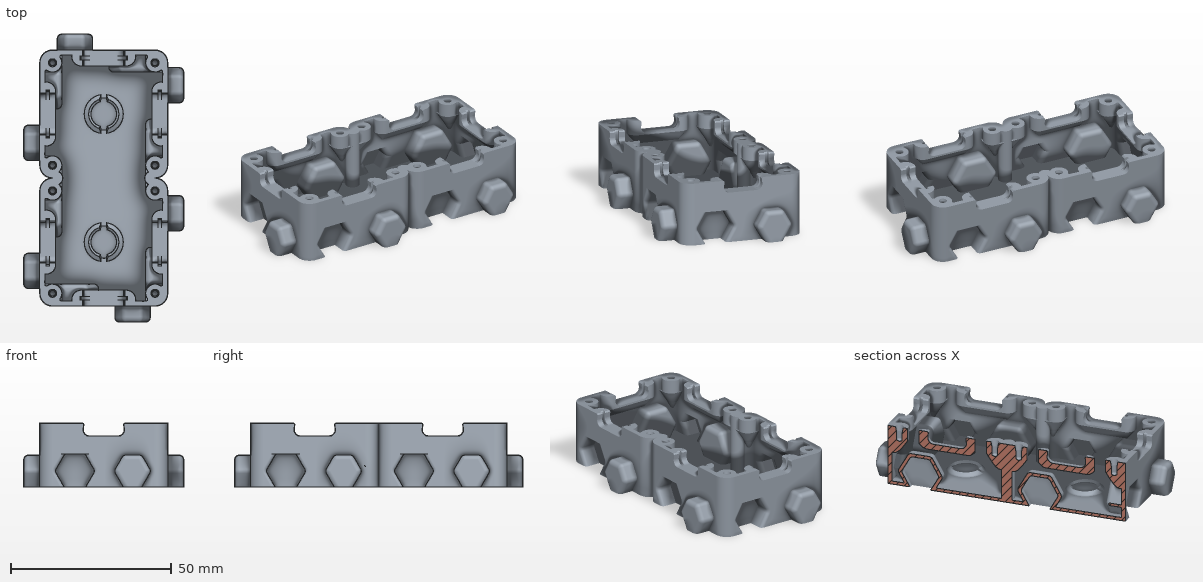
import math

import cadquery as cq

cell = 40.0
half = cell / 2
height = 20.0
wall = 1.6
floor = 1.2
corner_radius = 4.0
eps = 0.01

jamb_radius = 2.2
jamb_x = 15.0

boss_offset = half - corner_radius
boss_radius = 2.9
boss_height = 4.2
boss_fillet = 0.5
support_waist = 1.3
support_waist_drop = 4.5
support_waist_shift = 1.4
support_tip = 0.8
support_tip_drop = 7.0
support_tip_shift = 2.2
screw_diameter = 1.8
screw_flare = 0.35
screw_lead = 2.0
screw_depth = 4.5
screw_tip = 0.5

sill_radius = 3.0
sill_depth = 5.0
sill_post_spacing = 14.0
sill_thickness = 4.6
sill_taper_inset = 2.9
sill_taper_drop = 3.4

notch_depth = 4.0
notch_half_width = 6.4
notch_fillet = 1.9
neck_inset = 0.2
edge_chamfer = 0.4
groove_half_width = 7.25
groove_fillet = 0.8
groove_width = 1.1
groove_inset = 2.5

hex_offset = 9.0
hex_fillet = 1.5
hex_z = 5.0
plug_apothem = 5.0
plug_length = 5.0
clearance = 0.4
socket_apothem = plug_apothem + clearance
plug_end_gap = 0.3
socket_depth = plug_length + plug_end_gap
socket_vertex_fillet = 1.2
socket_mouth_radius = 1.0
hollow_mouth_radius = 1.5
skin = floor
housing_length = socket_depth + wall
foot_length = 3.0

magnet_radius = 5.05
magnet_recess = 0.4
clip_base_radius = 6.1
clip_ridge_radius = 4.72
clip_lip_radius = 4.0
clip_height = 1.1
clip_lip_height = 0.5
clip_gap = 1.6
clip_gap_top = 2.8


def cell_centres():
    """Cell centres, each with the quarter turns of its three outer walls from the -Y wall."""
    return [(half, (1, 2, 3)), (-half, (0, 1, 3))]


def on_outer_walls(feature):
    """Copy a feature made for the -Y wall of a centred cell onto every outer wall."""
    copies = cq.Workplane("XY")
    for y, turns in cell_centres():
        for turn in turns:
            placed = feature.rotate((0, 0, 0), (0, 0, 1), 90 * turn).translate((0, y, 0))
            copies = copies.add(placed.vals())
    return copies


def combined(copies):
    """Fuse a stack of solids into one body."""
    solids = copies.vals()
    body = cq.Workplane("XY").add(solids[0])
    for solid in solids[1:]:
        body = body.union(cq.Workplane("XY").add(solid))
    return body


def cell_block(side, radius, z0, z1):
    """Two square prisms with rounded corners, one per cell."""
    block = cq.Workplane("XY")
    for y, _ in cell_centres():
        prism = cq.Workplane("XY").box(side, side, z1 - z0, centered=(True, True, False))
        block = block.union(prism.edges("|Z").fillet(radius).translate((0, y, z0)))
    return block


def interior(z0, z1):
    """Inner space of both cells with the passage between its rounded jambs."""
    space = cell_block(cell - 2 * wall, corner_radius - wall, z0, z1)
    passage = cq.Workplane("XY").box(2 * jamb_x, 4 * wall, z1 - z0, centered=(True, True, False))
    jambs = cq.Workplane("XY").pushPoints([(-jamb_x, 0), (jamb_x, 0)]).circle(jamb_radius)
    space = space.union(passage.translate((0, 0, z0)))
    return space.cut(jambs.extrude(z1 - z0).translate((0, 0, z0)))


def boss_corners():
    """Boss centres with the X and Y signs pointing to their cell corner."""
    return [
        (sx * boss_offset, y + sy * boss_offset, sx, sy)
        for y, _ in cell_centres()
        for sx in (-1, 1)
        for sy in (-1, 1)
    ]


def boss_band():
    """Top band of the walls with the bosses blended into the side and end walls."""
    z0 = height - boss_height
    band = cell_block(cell, corner_radius, z0, height).cut(interior(z0, height))
    reach = half - wall - boss_offset
    across = math.sqrt(boss_radius**2 - reach**2)
    roots = []
    for x, y, sx, sy in boss_corners():
        boss = cq.Workplane("XY", origin=(x, y, z0)).circle(boss_radius).extrude(boss_height)
        band = band.union(boss)
        roots.append((x + sx * reach, y - sy * across))
        if y * sy > 0 and abs(y) > half:
            roots.append((x - sx * across, y + sy * reach))
    for x, y in roots:
        root = cq.selectors.NearestToPointSelector((x, y, z0 + boss_height / 2))
        band = band.edges("|Z").edges(root).fillet(boss_fillet)
    return band


def support_section(boss, drop, size, shift):
    """Square of half width size, rounded on its inner corner and shifted into the cell corner."""
    x, y, sx, sy = boss
    plane = cq.Plane(origin=(x, y, height - boss_height - drop))
    out_x = sx * (shift + size)
    out_y = sy * (shift + size)
    in_x = sx * (shift - size)
    in_y = sy * (shift - size)
    bend = shift - size * math.sqrt(0.5)
    outline = (
        cq.Workplane(plane)
        .moveTo(out_x, out_y)
        .lineTo(in_x, out_y)
        .lineTo(in_x, sy * shift)
        .threePointArc((sx * bend, sy * bend), (sx * shift, in_y))
        .lineTo(out_x, in_y)
        .close()
    )
    return outline.wires().val()


def boss_supports():
    """Tapered brackets that carry each boss from its cell corner, steep then steeper."""
    brackets = cq.Workplane("XY")
    for boss in boss_corners():
        top = support_section(boss, 0, boss_radius, 0)
        waist = support_section(boss, support_waist_drop, support_waist, support_waist_shift)
        tip = support_section(boss, support_tip_drop, support_tip, support_tip_shift)
        for upper, lower in ((top, waist), (waist, tip)):
            brackets = brackets.union(cq.Workplane(cq.Solid.makeLoft([upper, lower], True)))
    return brackets


def sill():
    """Thick ledge under a notch, tapering back toward the wall below."""
    y = -half + sill_depth - sill_radius
    length = sill_post_spacing + 2 * sill_radius
    plane = cq.Workplane("XY", origin=(0, y, height - sill_thickness))
    angle = math.degrees(math.atan2(sill_taper_inset, sill_taper_drop))
    ledge = plane.slot2D(length, 2 * sill_radius).extrude(sill_thickness)
    taper = plane.slot2D(length, 2 * sill_radius).extrude(-sill_taper_drop, taper=angle)
    return ledge.union(taper)


def hexagon(x, y, apothem, foot=0.0):
    """Flat-topped hexagon on a wall plane; foot lengthens its lower sides."""
    vertex = apothem / math.cos(math.pi / 6)
    low = apothem + foot
    low_half = vertex - low * math.tan(math.pi / 6)
    return cq.Workplane("XZ", origin=(x, y, hex_z)).polyline(
        [
            (-vertex, 0),
            (-vertex / 2, apothem),
            (vertex / 2, apothem),
            (vertex, 0),
            (low_half, -low),
            (-low_half, -low),
        ]
    ).close()


def rounded_plug(x, y, apothem, length):
    """Hexagonal lump with rounded sides and end, flat where it meets the base plane."""
    end = ">Y" if length < 0 else "<Y"
    plug = hexagon(x, y, apothem, foot_length).extrude(length)
    plug = plug.edges("|Y").fillet(hex_fillet).faces(end).edges().fillet(hex_fillet)
    ground = cq.Workplane("XY").box(4 * cell, 4 * cell, cell, centered=(True, True, False))
    return plug.intersect(ground)


def hex_hollow(x, mouth_y, apothem, depth, mouth, vertex_fillet=0.0):
    """Hexagonal hollow with rounded mouth sides; the top and bottom edges stay sharp."""
    hollow = hexagon(x, mouth_y, apothem).extrude(depth)
    if vertex_fillet > 0:
        hollow = hollow.edges("|Y").fillet(vertex_fillet)
    inward = math.copysign(mouth, depth)
    reach = 1.5 * apothem
    width = 4 * apothem
    slab = cq.Workplane("XZ", origin=(x, mouth_y, hex_z)).rect(width, width).extrude(2 * inward)
    inner_box = cq.selectors.BoxSelector(
        (x - reach, mouth_y - eps, hex_z - reach),
        (x + reach, mouth_y + eps, hex_z + reach),
    )
    rounded = slab.cut(hollow).edges(inner_box).fillet(mouth)
    band = cq.Workplane("XZ", origin=(x, mouth_y, hex_z)).rect(width, 2 * apothem).extrude(2 * inward)
    return hollow.union(slab.cut(rounded).intersect(band))


def notch_profile(half_width, fillet, y0, width):
    """Rounded-bottom cut through the top edge, pinched to a neck below a small chamfer."""
    bottom = height - notch_depth
    neck = half_width - neck_inset
    bend = fillet * (1 - math.sqrt(0.5))
    return (
        cq.Workplane("XZ", origin=(0, y0, 0))
        .moveTo(-neck - edge_chamfer, height)
        .lineTo(-neck, height - edge_chamfer)
        .lineTo(-half_width, bottom + fillet)
        .threePointArc((-half_width + bend, bottom + bend), (-half_width + fillet, bottom))
        .lineTo(half_width - fillet, bottom)
        .threePointArc((half_width - bend, bottom + bend), (half_width, bottom + fillet))
        .lineTo(neck, height - edge_chamfer)
        .lineTo(neck + edge_chamfer, height)
        .close()
        .extrude(-width)
    )


def notch():
    """Notch through the sill together with its narrow cross groove."""
    opening = notch_profile(notch_half_width, notch_fillet, -half, sill_depth + eps)
    groove_y = -half + groove_inset - groove_width / 2
    return opening.union(notch_profile(groove_half_width, groove_fillet, groove_y, groove_width))


def screw_holes():
    """Blind screw holes with a tapered lead-in and a pointed bottom."""
    radius = screw_diameter / 2
    profile = (
        cq.Workplane("XZ")
        .moveTo(0, height)
        .lineTo(radius + screw_flare, height)
        .lineTo(radius, height - screw_lead)
        .lineTo(radius, height - screw_depth)
        .lineTo(0, height - screw_depth - screw_tip)
        .close()
        .revolve(360, (0, 0, 0), (0, 1, 0))
    )
    holes = cq.Workplane("XY")
    for x, y, _, _ in boss_corners():
        holes = holes.union(profile.translate((x, y, 0)))
    return holes


def magnet_clip():
    """Ring with an inward lip, split by two flared gaps."""
    top = floor + clip_height
    lip_z = floor + clip_lip_height
    ring = (
        cq.Workplane("XZ")
        .moveTo(magnet_radius, floor - eps)
        .lineTo(clip_base_radius, floor - eps)
        .lineTo(clip_base_radius, floor)
        .lineTo(clip_ridge_radius, top)
        .lineTo(clip_lip_radius, lip_z)
        .lineTo(magnet_radius, floor)
        .close()
        .revolve(360, (0, 0, 0), (0, 1, 0))
    )
    gap = (
        cq.Workplane("XZ", origin=(0, clip_base_radius, 0))
        .moveTo(-clip_gap / 2, floor)
        .lineTo(clip_gap / 2, floor)
        .lineTo(clip_gap_top / 2, top)
        .lineTo(-clip_gap_top / 2, top)
        .close()
        .extrude(2 * clip_base_radius)
    )
    return ring.cut(gap)


def build():
    """Assemble the enclosure from its inner, outer and cut features."""
    outline = cell_block(cell, corner_radius, 0, height)
    body = outline.cut(interior(floor, height))

    body = body.union(boss_band())
    body = body.union(boss_supports().intersect(outline))
    body = body.union(combined(on_outer_walls(sill())).intersect(outline))
    housing = rounded_plug(-hex_offset, -half + wall / 2, socket_apothem + skin, wall / 2 - housing_length)
    body = body.union(combined(on_outer_walls(housing)).intersect(outline))

    plug = rounded_plug(hex_offset, -half + wall / 2, plug_apothem, plug_length + wall / 2)
    body = body.union(combined(on_outer_walls(plug)))
    hollow = hex_hollow(hex_offset, -half + wall, plug_apothem - skin, plug_length, hollow_mouth_radius)
    body = body.cut(combined(on_outer_walls(hollow)))
    socket = hex_hollow(
        -hex_offset, -half, socket_apothem, -socket_depth, socket_mouth_radius, socket_vertex_fillet
    )
    body = body.cut(combined(on_outer_walls(socket)))

    body = body.cut(combined(on_outer_walls(notch())))
    body = body.cut(screw_holes())

    for y, _ in cell_centres():
        recess = cq.Workplane("XY", origin=(0, y, floor)).circle(magnet_radius).extrude(-magnet_recess)
        body = body.cut(recess).union(magnet_clip().translate((0, y, 0)))
    return body


result = build()